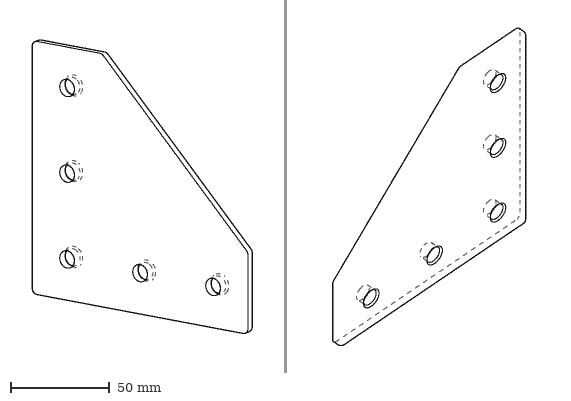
import cadquery as cq

side = 133.0
thickness = 6.0
hole_pitch = 45.0
hole_diameter = 9.0
hole_back_chamfer = 1.0
holes_per_leg = 3
corner_radius = 3.0
back_edge_radius = 3.0

hole_margin = (side - (holes_per_leg - 1) * hole_pitch) / 2
leg_width = 2 * hole_margin


def make_plate():
    """Upright plate with its flat front face on Y = 0 and its thickness along +Y."""
    outline = [
        (0, 0),
        (side, 0),
        (side, leg_width),
        (leg_width, side),
        (0, side),
    ]
    plate = cq.Workplane("XZ").polyline(outline).close().extrude(-thickness)
    return plate.edges("|Y").fillet(corner_radius)


def round_back_edge(plate):
    """Round the whole rim of the back face."""
    return plate.faces(">Y").edges().fillet(back_edge_radius)


def hole_centers():
    """Hole positions along both legs, sharing the hole at the corner."""
    row = [hole_margin + i * hole_pitch for i in range(holes_per_leg)]
    lower_leg = [(x, hole_margin) for x in row]
    upright_leg = [(hole_margin, z) for z in row[1:]]
    return lower_leg + upright_leg


def make_holes():
    """Through holes along Y, each with a 45 degree chamfer opening onto the back face."""
    radius = hole_diameter / 2
    straight_depth = thickness - hole_back_chamfer
    profile = [
        (0, 0),
        (radius, 0),
        (radius, straight_depth),
        (radius + hole_back_chamfer, thickness),
        (0, thickness),
    ]
    hole = cq.Workplane("XY").polyline(profile).close().revolve(360, (0, 0), (0, 1))
    holes = cq.Workplane("XZ")
    for x, z in hole_centers():
        holes = holes.add(hole.translate((x, 0, z)))
    return holes.combine()


result = round_back_edge(make_plate()).cut(make_holes())